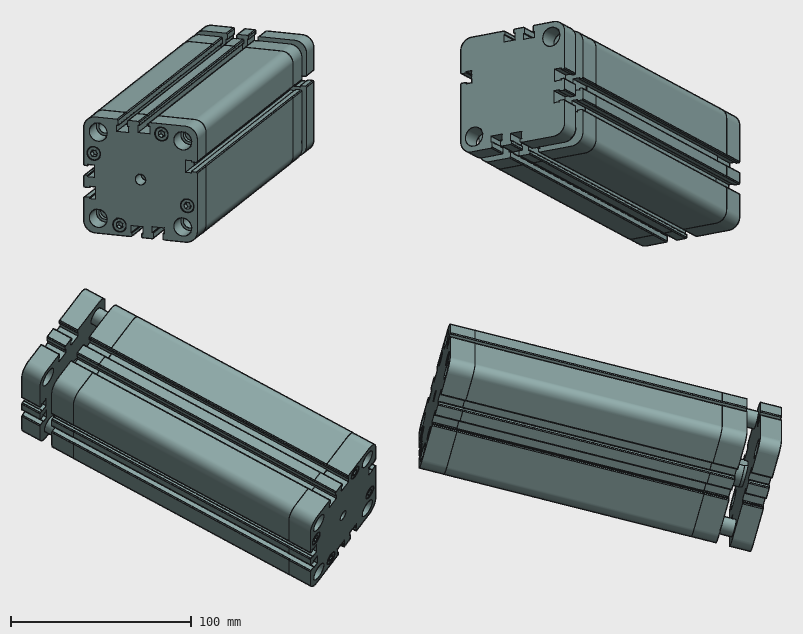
import cadquery as cq

LENGTH = 190.0
WIDTH = 67.0
FRONT_Y = -LENGTH / 2

CAP_LENGTH = 14.2
PLATE_LENGTH = 12.0
GAP_LENGTH = 7.8
BODY_LENGTH = LENGTH - PLATE_LENGTH - GAP_LENGTH
TUBE_LENGTH = BODY_LENGTH - 2 * CAP_LENGTH
TUBE_Y = FRONT_Y + CAP_LENGTH
REAR_CAP_Y = TUBE_Y + TUBE_LENGTH
GAP_Y = FRONT_Y + BODY_LENGTH
PLATE_Y = GAP_Y + GAP_LENGTH

CORNER_RADIUS = 7.0
TUBE_INSET = 0.1
TUBE_CORNER_RADIUS = 6.5

SLOT_NECK_WIDTH = 5.5
SLOT_WIDTH = 7.0
DEEP_SLOT_OFFSET = -10.5
DEEP_SLOT_NECK = 3.6
DEEP_SLOT_DEPTH = 7.0
SHALLOW_SLOT_OFFSET = 2.0
SHALLOW_SLOT_NECK = 2.3
SHALLOW_SLOT_DEPTH = 6.5
TUBE_SHALLOW_SLOT_DEPTH = 5.9
SLOT_MOUTH_CHAMFER = 0.5

OVERCUT = 1.9

CORNER_OFFSET = 24.9
MOUNT_BORE = 10.5
MOUNT_BORE_DEPTH = 11.4
MOUNT_HOLE = 7.5
BLIND_HOLE_DEPTH = CAP_LENGTH
PLATE_HOLE = 11.0
GUIDE_ROD = 10.0
GUIDE_ROD_OFFSET = 24.0

SCREW_X = 12.4
SCREW_Z = 27.5
SCREW_BORE = 8.0
SCREW_HEAD = 7.5
SCREW_HEAD_HEIGHT = 4.8
SCREW_RECESS = 0.2
SOCKET_ACROSS_CORNERS = 4.2
SOCKET_DEPTH = 3.8

CENTRE_HOLE = 6.0
CENTRE_HOLE_DEPTH = 9.5

PISTON_ROD = 16.0
FLAT_ACROSS = 13.0
ROD_CHAMFER_LENGTH = 1.9
ROD_CHAMFER = 0.8
FLAT_START = 0.5
FLAT_RUNOUT = (PISTON_ROD - FLAT_ACROSS) / 2

SIDE_ANGLES = {"top": 0, "left": 90, "bottom": 180, "right": 270}


def section_plane(x, y, z):
    """Workplane at a point, parallel to the front face, with local axes along X and Z."""
    return cq.Workplane("XZ", origin=(x, y, z))


def disc(x, z, diameter, y, length):
    """Cylinder running from y along +Y."""
    return section_plane(x, y, z).circle(diameter / 2).extrude(-length)


def turned(solid, angle):
    """Turn a solid about the Y axis, carrying the top side to the left at 90 degrees."""
    return solid.rotate((0, 0, 0), (0, 1, 0), -angle)


def t_slot(offset, neck, depth, face, y, length):
    """T-slot cutter in the top side, whose flat face is at z = face; the mouth edges are chamfered."""
    floor = WIDTH / 2 - depth
    shoulder = WIDTH / 2 - neck
    neck_half = SLOT_NECK_WIDTH / 2
    pocket_half = SLOT_WIDTH / 2
    half_outline = [
        (pocket_half, floor),
        (pocket_half, shoulder),
        (neck_half, shoulder),
        (neck_half, face - SLOT_MOUTH_CHAMFER),
        (neck_half + SLOT_MOUTH_CHAMFER, face),
        (neck_half + SLOT_MOUTH_CHAMFER, face + OVERCUT),
    ]
    mirrored_half = [(-x, z) for x, z in reversed(half_outline)]
    outline = half_outline + mirrored_half
    return section_plane(offset, y, 0).polyline(outline).close().extrude(-length)


def slotted_block(y, length, inset, radius, shallow_depth):
    """Rounded square block with the T-slots; inset lowers its sides and its deep slot floors."""
    face = WIDTH / 2 - inset
    body = section_plane(0, y, 0).rect(2 * face, 2 * face).extrude(-length).edges("|Y").fillet(radius)
    deep = t_slot(DEEP_SLOT_OFFSET, DEEP_SLOT_NECK, DEEP_SLOT_DEPTH - inset, face, y, length)
    shallow = t_slot(SHALLOW_SLOT_OFFSET, SHALLOW_SLOT_NECK, shallow_depth, face, y, length)
    for side, angle in SIDE_ANGLES.items():
        body = body.cut(turned(deep, angle))
        if side != "right":
            body = body.cut(turned(shallow, angle))
    return body


def build_blocks():
    """The two caps, the tube between them and the separate end plate."""
    front_cap = slotted_block(FRONT_Y, CAP_LENGTH, 0, CORNER_RADIUS, SHALLOW_SLOT_DEPTH)
    tube = slotted_block(TUBE_Y, TUBE_LENGTH, TUBE_INSET, TUBE_CORNER_RADIUS, TUBE_SHALLOW_SLOT_DEPTH)
    rear_cap = slotted_block(REAR_CAP_Y, CAP_LENGTH, 0, CORNER_RADIUS, SHALLOW_SLOT_DEPTH)
    plate = slotted_block(PLATE_Y, PLATE_LENGTH, 0, CORNER_RADIUS, SHALLOW_SLOT_DEPTH)
    return front_cap.union(tube).union(rear_cap).union(plate)


def add_corners(part):
    """Stepped bores at all corners; two opposite ones run through, the other two carry guide rods."""
    for x_sign in (-1, 1):
        for z_sign in (-1, 1):
            x = x_sign * CORNER_OFFSET
            z = z_sign * CORNER_OFFSET
            part = part.cut(disc(x, z, MOUNT_BORE, FRONT_Y, MOUNT_BORE_DEPTH))
            if x_sign != z_sign:
                part = part.cut(disc(x, z, MOUNT_HOLE, FRONT_Y, BODY_LENGTH))
                part = part.cut(disc(x, z, PLATE_HOLE, PLATE_Y, PLATE_LENGTH))
            else:
                part = part.cut(disc(x, z, MOUNT_HOLE, FRONT_Y, BLIND_HOLE_DEPTH))
                rod_x = x_sign * GUIDE_ROD_OFFSET
                rod_z = z_sign * GUIDE_ROD_OFFSET
                part = part.union(disc(rod_x, rod_z, GUIDE_ROD, GAP_Y, GAP_LENGTH))
    return part


def add_screws(part):
    """Four socket screws sunk into the front cap, one near each side."""
    bore = disc(SCREW_X, SCREW_Z, SCREW_BORE, FRONT_Y, SCREW_HEAD_HEIGHT)
    head_y = FRONT_Y + SCREW_RECESS
    head = disc(SCREW_X, SCREW_Z, SCREW_HEAD, head_y, SCREW_HEAD_HEIGHT)
    socket = (
        section_plane(SCREW_X, head_y, SCREW_Z)
        .transformed(rotate=(0, 0, 90))
        .polygon(6, SOCKET_ACROSS_CORNERS)
        .extrude(-SOCKET_DEPTH)
    )
    screw = head.cut(socket)
    for angle in SIDE_ANGLES.values():
        part = part.cut(turned(bore, angle)).union(turned(screw, angle))
    return part


def piston_rod():
    """Rod across the gap, chamfered at the plate, with two wrench flats that slope out at the body."""
    radius = PISTON_ROD / 2
    rod = disc(0, 0, PISTON_ROD, GAP_Y, GAP_LENGTH)
    rod = rod.faces(">Y").chamfer(ROD_CHAMFER_LENGTH, ROD_CHAMFER)
    flat_x = FLAT_ACROSS / 2
    runout_y = GAP_Y + FLAT_START
    for side in (-1, 1):
        outline = [
            (side * radius, runout_y),
            (side * flat_x, runout_y + FLAT_RUNOUT),
            (side * flat_x, PLATE_Y),
            (side * radius, PLATE_Y),
        ]
        rod = rod.cut(cq.Workplane("XY").polyline(outline).close().extrude(radius, both=True))
    return rod


result = add_screws(add_corners(build_blocks()))
result = result.cut(disc(0, 0, CENTRE_HOLE, FRONT_Y, CENTRE_HOLE_DEPTH))
result = result.union(piston_rod())